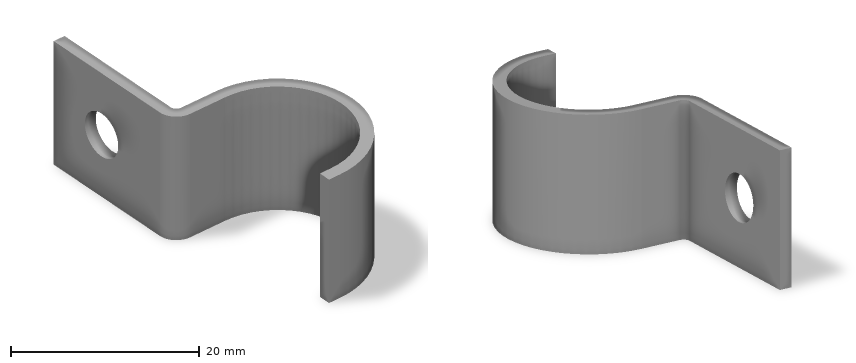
import cadquery as cq

length = 38.8
depth = 17.4
width = 15.85

thickness = 1.5
saddle_radius = 10.25
bend_inner_radius = 0.78
free_leg = 1.5

hole_diameter = 5.5
hole_from_end = 7.9

saddle_inner_radius = saddle_radius - thickness
bend_outer_radius = bend_inner_radius + thickness
saddle_x = length - saddle_radius
saddle_y = depth - saddle_radius
leg_outer_x = saddle_x - saddle_radius
leg_inner_x = leg_outer_x + thickness
bend_x = leg_outer_x - bend_inner_radius
bend_y = thickness + bend_inner_radius
free_end_y = saddle_y - free_leg


def make_strip():
    """Bent strip: flat tab, tight bend, straight leg, half-round saddle and short free leg."""
    return (
        cq.Workplane("XY")
        .moveTo(0, 0)
        .lineTo(bend_x, 0)
        .radiusArc((leg_inner_x, bend_y), -bend_outer_radius)
        .lineTo(leg_inner_x, saddle_y)
        .threePointArc(
            (saddle_x, saddle_y + saddle_inner_radius),
            (saddle_x + saddle_inner_radius, saddle_y),
        )
        .lineTo(length - thickness, free_end_y)
        .lineTo(length, free_end_y)
        .lineTo(length, saddle_y)
        .threePointArc((saddle_x, depth), (leg_outer_x, saddle_y))
        .lineTo(leg_outer_x, bend_y)
        .radiusArc((bend_x, thickness), bend_inner_radius)
        .lineTo(0, thickness)
        .close()
        .extrude(width)
    )


def make_screw_hole():
    """Cylinder through the tab, centred across the strip width."""
    return (
        cq.Workplane("XZ")
        .center(hole_from_end, width / 2)
        .circle(hole_diameter / 2)
        .extrude(-thickness)
    )


result = make_strip().cut(make_screw_hole())